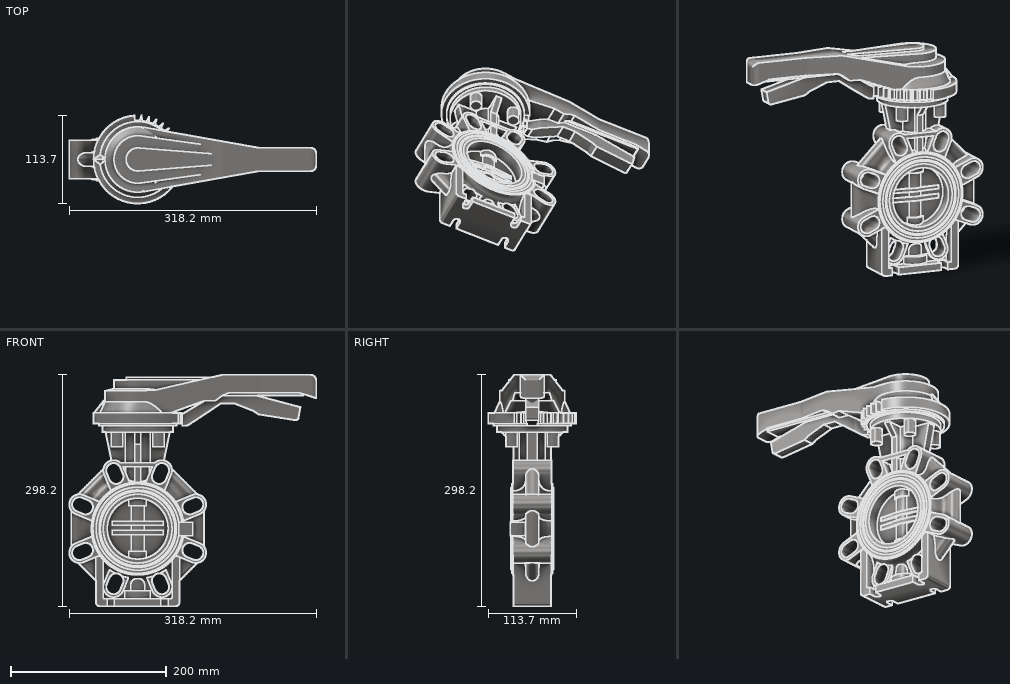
import cadquery as cq
import math


BORE_R = 39.2
BARREL_R = 59.7
BARREL_HALF = 25.4
SEAL_R = 57.7
SEAL_FACE = 26.2
BEAD_R = 2.0
BEAD_RINGS = (51.7, 46.2)
SEAL_HALF = 27.5
DISC_HALF = 8.5
SHAFT_R = 11.8
SHAFT_HUB_R = 14.1
SHAFT_HUB_START = 29.4
DISC_RIB_END = 32.8
DISC_RIB_END_HALF = 9.0
DISC_RIB_PEAK = 1.7
DISC_RIB_PEAK_HALF = 12.4
DISC_RIBS = ((4.5, 9.3), (-7.7, -2.0))

LUG_COUNT = 8
LUG_STEP = 360 / LUG_COUNT
LUG_R = 13.2
LUG_HALF = 25.0
LOW_LUG_HALF = 12.5
SLOT_R = 9.3
SLOT_INNER = 72.5
SLOT_OUTER = 81.2
RIM_R = 8.0
RIM_FLAT = 1.2
RIM_CENTER = 77.6
WEB_HALF = RIM_R + RIM_FLAT / 2
FLARE_R = 14.3
TIE_BOTTOM = 79.6
TIE_TOP = 85.0
TAB_X = (52.7, 70.6)
TAB_Z = (-8.9, 8.1)
TAB_FRONT = 28.6

FOOT_BOTTOM = -100.0
FOOT_HALF_X = 53.9
FOOT_HALF_Y = 24.2
FOOT_WALL = 9.7
FOOT_CORNER_R = 5.0
FOOT_TOP = -35.6
FOOT_SLOT_X = 34.6
FOOT_SLOT_R = 4.6
FOOT_SLOT_DEPTH = 10.0
FOOT_INNER_R = 1.8
LOWER_STEM_R = 12.4
LOWER_BOSS_R = 18.5
LOWER_BOSS_HEIGHT = 10.0

NECK_TOP = 124.2
NECK_COLUMN_R = 17.4
NECK_PLATE_HALF_TOP = 41.5
NECK_PLATE_HALF_LOW = 34.0
NECK_PLATE_LOW = 88.0
NECK_PLATE_THICK = 12.4
NECK_RIB_THICK = 8.0
NECK_RIB_FLARE = 15.5
PAD_R = 45.7
PAD_TOP = 132.3
STEP_R = 50.2
STEP_TOP = 135.1
RATCHET_R = 56.91
RATCHET_TOP = 149.0
RATCHET_ROOT_R = 49.6
NOTCH_START = -24.0
NOTCH_END = 94.0
TOOTH_FIRST = -15
TOOTH_LAST = 85
TOOTH_STEP = 10
TOOTH_BASE_HALF = 2.4
TOOTH_TIP_HALF = 0.3
TOOTH_WAIST_HALF = 0.9
TOOTH_EMBED = 1.0
SCREW_R = 7.4
SCREW_OFFSET = 26.7
SCREW_BOTTOM = 105.2

HUB_R = 42.2
SKIRT_R = 48.8
SKIRT_TOP = 163.5
HUB_SHOULDER = 177.3
HUB_TOP = 180.3
COVER_R = 30.6
COVER_TOP = 191.7
COVER_END = (83.0, 19.3)
BADGE_R = 14.9
BADGE_TOP = 195.0
BADGE_END = (95.3, 7.4)
LEVER_END = 229.96
LEVER_TOP = 198.2
GRIP_START = 156.0
GRIP_HALF = 15.2
GRIP_BOTTOM = 174.7
HOOK_START = 208.6
HOOK_BOTTOM = 167.8
CRANK_X = 109.0
CRANK_LOW = (22.9, 178.5)
BELLY_START = 43.0
BELLY_STEP = (85.5, 164.4)
BELLY_END = (100.0, 164.6)
GRIP_RELIEF_X = 117.0
GRIP_TOP_R = 7.5
GRIP_SIDE_R = 7.4
CORE_HALF = 12.0
CORE_BOTTOM = 171.4
CORE_END = 213.0
POINTER_TIP = 56.4
POINTER_TOP = 165.5
POINTER_BASE_X = 47.6
POINTER_HALF = 7.0
POINTER_PEAK = 1.0
TRIGGER_START = 57.2
TRIGGER_KINK = 75.2
TRIGGER_HALF = 8.6
TRIGGER_NOSE_HALF = 5.0
TRIGGER_TIP_R = 4.0
TRIGGER_NOSE_TOP = 147.5
TRIGGER_TAIL_START = 153.5
TRIGGER_TAIL_TOP = (209.7, 156.5)
TRIGGER_TAIL_LOW = (206.5, 139.0)
TRIGGER_UNDERSIDE = (
    (155.5, 147.0),
    (149.0, 151.5),
    (124.5, 161.0),
    (107.0, 161.0),
    (TRIGGER_KINK, 139.8),
    (64.0, 132.6),
    (TRIGGER_START, 132.2),
)


def disc_along_y(radius, half):
    """Cylinder about the bore axis, centred on the mid plane."""
    return cq.Workplane("XZ").circle(radius).extrude(half, both=True)


def post(radius, bottom, top, x=0, y=0):
    """Vertical cylinder between two heights."""
    return cq.Workplane("XY", origin=(x, y, bottom)).circle(radius).extrude(top - bottom)


def block(x_range, y_range, z_range):
    """Box between pairs of limits."""
    size = [high - low for low, high in (x_range, y_range, z_range)]
    low_corner = (x_range[0], y_range[0], z_range[0])
    return cq.Workplane("XY").box(*size, centered=False).translate(low_corner)


def turn(shape, angle):
    """Turn a shape about the bore axis, from +X toward +Z."""
    return shape.rotate((0, 0, 0), (0, 1, 0), -angle)


def polar(radius, angle):
    """Point at a radius and an angle in degrees."""
    return (radius * math.cos(math.radians(angle)), radius * math.sin(math.radians(angle)))


def barrel():
    """Barrel with raised seal faces and two round beads on each."""
    body = disc_along_y(BARREL_R, BARREL_HALF).union(disc_along_y(SEAL_R, SEAL_FACE))
    for ring in BEAD_RINGS:
        for side in (-1, 1):
            bead = (
                cq.Workplane("XY")
                .center(ring, side * (SEAL_HALF - BEAD_R))
                .circle(BEAD_R)
                .revolve(360, (-ring, 0), (-ring, 1))
            )
            body = body.union(bead)
    return body


def lug_web():
    """Web around the barrel: an octagon with a round rim, flaring out toward the barrel."""
    corner_r = RIM_CENTER / math.cos(math.radians(LUG_STEP / 2))
    web = (
        cq.Workplane("XZ")
        .polygon(LUG_COUNT, 2 * corner_r)
        .extrude(WEB_HALF, both=True)
    )
    web = turn(web, LUG_STEP / 2)
    flare_tip = BARREL_R + FLARE_R
    flare_half = WEB_HALF + FLARE_R
    arc_mid_offset = FLARE_R * math.sqrt(0.5)
    flare = (
        cq.Workplane("XY")
        .moveTo(BORE_R, -flare_half)
        .lineTo(BARREL_R, -flare_half)
        .threePointArc((flare_tip - arc_mid_offset, arc_mid_offset - flare_half), (flare_tip, -WEB_HALF))
        .lineTo(flare_tip, WEB_HALF)
        .threePointArc((flare_tip - arc_mid_offset, flare_half - arc_mid_offset), (BARREL_R, flare_half))
        .lineTo(BORE_R, flare_half)
        .close()
        .revolve(360, (0, 0), (0, 1))
    )
    web = web.union(flare)
    rim_length = 2 * RIM_CENTER * math.tan(math.radians(LUG_STEP / 2))
    rim = (
        cq.Workplane("XY", origin=(RIM_CENTER, 0, -rim_length / 2))
        .slot2D(2 * WEB_HALF, 2 * RIM_R, 90)
        .extrude(rim_length)
    )
    for index in range(LUG_COUNT):
        web = web.union(turn(rim, index * LUG_STEP))
    return web


def lug(angle):
    """Radial lug with a round outer end; the two inside the foot are thinner."""
    inside_foot = abs(angle - 270) < LUG_STEP
    half = LOW_LUG_HALF if inside_foot else LUG_HALF
    arm = block((BORE_R, SLOT_OUTER), (-half, half), (-LUG_R, LUG_R))
    end = disc_along_y(LUG_R, half).translate((SLOT_OUTER, 0, 0))
    return turn(arm.union(end), angle)


def lug_slot(angle):
    """Radial bolt slot through a lug."""
    slot = (
        cq.Workplane("XZ")
        .center((SLOT_INNER + SLOT_OUTER) / 2, 0)
        .slot2D(SLOT_OUTER - SLOT_INNER + 2 * SLOT_R, 2 * SLOT_R)
        .extrude(LUG_HALF, both=True)
    )
    return turn(slot, angle)


def foot():
    """U-shaped foot below the barrel, with open slots in its floor and a lower stem boss."""
    wall_inner = FOOT_HALF_X - FOOT_WALL
    floor_top = FOOT_BOTTOM + FOOT_WALL
    both_y = (-FOOT_HALF_Y, FOOT_HALF_Y)
    frame = block((-FOOT_HALF_X, FOOT_HALF_X), both_y, (FOOT_BOTTOM, FOOT_TOP))
    frame = frame.edges("|Y and <Z").fillet(FOOT_CORNER_R)
    opening = block((-wall_inner, wall_inner), both_y, (floor_top, FOOT_TOP))
    frame = frame.cut(opening.edges("|Y and <Z").fillet(FOOT_INNER_R))
    for x in (-FOOT_SLOT_X, FOOT_SLOT_X):
        for side in (-1, 1):
            slot = (
                cq.Workplane("XY", origin=(x, side * FOOT_HALF_Y, FOOT_BOTTOM))
                .slot2D(2 * (FOOT_SLOT_DEPTH + FOOT_SLOT_R), 2 * FOOT_SLOT_R, 90)
                .extrude(FOOT_WALL)
            )
            frame = frame.cut(slot)
    web = block((-wall_inner, wall_inner), (-WEB_HALF, WEB_HALF), (floor_top, -BARREL_R))
    boss = post(LOWER_BOSS_R, floor_top, floor_top + LOWER_BOSS_HEIGHT)
    stem = post(LOWER_STEM_R, floor_top, -BORE_R)
    return frame.union(web).union(boss).union(stem)


def neck():
    """Stem column with a tapered plate across it and a flared rib along the bore."""
    column = post(NECK_COLUMN_R, BORE_R, NECK_TOP)
    plate = (
        cq.Workplane("XZ")
        .polyline([
            (-NECK_PLATE_HALF_TOP, NECK_TOP),
            (NECK_PLATE_HALF_TOP, NECK_TOP),
            (NECK_PLATE_HALF_LOW, NECK_PLATE_LOW),
            (NECK_PLATE_HALF_LOW, TIE_BOTTOM),
            (-NECK_PLATE_HALF_LOW, TIE_BOTTOM),
            (-NECK_PLATE_HALF_LOW, NECK_PLATE_LOW),
        ])
        .close()
        .extrude(NECK_PLATE_THICK / 2, both=True)
    )
    flare_half = FOOT_HALF_Y + NECK_RIB_FLARE
    rib = (
        cq.Workplane("YZ")
        .polyline([
            (-flare_half, NECK_TOP),
            (flare_half, NECK_TOP),
            (FOOT_HALF_Y, NECK_TOP - NECK_RIB_FLARE),
            (FOOT_HALF_Y, BORE_R),
            (-FOOT_HALF_Y, BORE_R),
            (-FOOT_HALF_Y, NECK_TOP - NECK_RIB_FLARE),
        ])
        .close()
        .extrude(NECK_RIB_THICK / 2, both=True)
    )
    tie_half = polar(SLOT_OUTER, 90 - LUG_STEP / 2)[0]
    tie = block((-tie_half, tie_half), (-LUG_HALF, LUG_HALF), (TIE_BOTTOM, TIE_TOP))
    return column.union(plate).union(rib).union(tie)


def ratchet_plate():
    """Stepped round plate, cut back over a sector where ratchet teeth stand out."""
    rim = post(RATCHET_R, STEP_TOP, RATCHET_TOP)
    notch_reach = 2 * RATCHET_R
    notch_angles = (NOTCH_START, (NOTCH_START + NOTCH_END) / 2, NOTCH_END)
    notch_points = [(0, 0)] + [polar(notch_reach, angle) for angle in notch_angles]
    notch = cq.Workplane("XY", origin=(0, 0, STEP_TOP)).polyline(notch_points).close()
    rim = rim.cut(notch.extrude(RATCHET_TOP - STEP_TOP))
    rim = rim.union(post(RATCHET_ROOT_R, STEP_TOP, RATCHET_TOP))
    root = RATCHET_ROOT_R - TOOTH_EMBED
    waist_x = (RATCHET_ROOT_R + RATCHET_R) / 2
    tooth = (
        cq.Workplane("XY", origin=(0, 0, STEP_TOP))
        .moveTo(root, -TOOTH_BASE_HALF)
        .threePointArc((waist_x, -TOOTH_WAIST_HALF), (RATCHET_R, -TOOTH_TIP_HALF))
        .lineTo(RATCHET_R, TOOTH_TIP_HALF)
        .threePointArc((waist_x, TOOTH_WAIST_HALF), (root, TOOTH_BASE_HALF))
        .close()
        .extrude(RATCHET_TOP - STEP_TOP)
    )
    for angle in range(TOOTH_FIRST, TOOTH_LAST + 1, TOOTH_STEP):
        rim = rim.union(tooth.rotate((0, 0, 0), (0, 0, 1), angle))
    plate = rim.union(post(STEP_R, PAD_TOP, STEP_TOP)).union(post(PAD_R, NECK_TOP, PAD_TOP))
    for x in (-SCREW_OFFSET, SCREW_OFFSET):
        for y in (-SCREW_OFFSET, SCREW_OFFSET):
            plate = plate.union(post(SCREW_R, SCREW_BOTTOM, NECK_TOP, x, y))
    return plate


def valve_disc():
    """Closed disc in the bore, with the stem swelling and two tapering ribs on each face."""
    disc = disc_along_y(BORE_R, DISC_HALF)
    stem = post(SHAFT_R, -BORE_R, BORE_R)
    stem = stem.union(post(SHAFT_HUB_R, SHAFT_HUB_START, BORE_R))
    stem = stem.union(post(SHAFT_HUB_R, -BORE_R, -SHAFT_HUB_START))
    for z_low, z_high in DISC_RIBS:
        rib = (
            cq.Workplane("XY", origin=(0, 0, z_low))
            .polyline([
                (-DISC_RIB_END, -DISC_RIB_END_HALF),
                (-DISC_RIB_PEAK, -DISC_RIB_PEAK_HALF),
                (DISC_RIB_PEAK, -DISC_RIB_PEAK_HALF),
                (DISC_RIB_END, -DISC_RIB_END_HALF),
                (DISC_RIB_END, DISC_RIB_END_HALF),
                (DISC_RIB_PEAK, DISC_RIB_PEAK_HALF),
                (-DISC_RIB_PEAK, DISC_RIB_PEAK_HALF),
                (-DISC_RIB_END, DISC_RIB_END_HALF),
            ])
            .close()
            .extrude(z_high - z_low)
        )
        stem = stem.union(rib)
    return disc.union(stem.intersect(disc_along_y(BORE_R, SEAL_HALF)))


def make_valve():
    """Valve body: barrel, lugs, foot, neck and ratchet plate with the closed disc."""
    body = barrel().union(lug_web()).union(foot()).union(neck())
    lug_angles = [LUG_STEP * (index + 0.5) for index in range(LUG_COUNT)]
    for angle in lug_angles:
        body = body.union(lug(angle))
    for angle in lug_angles:
        body = body.cut(lug_slot(angle))
    body = body.union(block(TAB_X, (-TAB_FRONT, 0), TAB_Z))
    body = body.cut(disc_along_y(BORE_R, TAB_FRONT))
    return body.union(valve_disc()).union(ratchet_plate())


def tangent_point(radius, end):
    """Point where a line from `end` touches a circle about the stem axis, on the +Y side."""
    angle = math.atan2(end[1], end[0]) + math.acos(radius / math.hypot(*end))
    return (radius * math.cos(angle), radius * math.sin(angle))


def teardrop(radius, end, bottom, top):
    """Plate with a round nose about the stem axis, sides tangent to it and a square end."""
    start = tangent_point(radius, end)
    return (
        cq.Workplane("XY", origin=(0, 0, bottom))
        .moveTo(*start)
        .lineTo(end[0], end[1])
        .lineTo(end[0], -end[1])
        .lineTo(start[0], -start[1])
        .threePointArc((-radius, 0), start)
        .close()
        .extrude(top - bottom)
    )


def hub():
    """Turned hub with a conical skirt and a shallow conical top."""
    return (
        cq.Workplane("XZ")
        .polyline([
            (0, RATCHET_TOP),
            (SKIRT_R, RATCHET_TOP),
            (HUB_R, SKIRT_TOP),
            (HUB_R, HUB_SHOULDER),
            (COVER_R, HUB_TOP),
            (0, HUB_TOP),
        ])
        .close()
        .revolve(360, (0, 0), (0, 1))
    )


def lever():
    """Cranked lever: side profile limited by the tapering plan outline, with a hooked end."""
    side = (
        cq.Workplane("XZ")
        .polyline([
            (0, RATCHET_TOP),
            (BELLY_START, RATCHET_TOP),
            BELLY_STEP,
            BELLY_END,
            (CRANK_X, CORE_BOTTOM),
            (GRIP_RELIEF_X, GRIP_BOTTOM),
            (HOOK_START, GRIP_BOTTOM),
            (LEVER_END, HOOK_BOTTOM),
            (LEVER_END, LEVER_TOP),
            (CRANK_X, LEVER_TOP),
            CRANK_LOW,
            (0, HUB_SHOULDER),
        ])
        .close()
        .extrude(HUB_R, both=True)
    )
    side = side.edges("|Y and >X and >Z").fillet(GRIP_TOP_R)
    root_x, root_half = tangent_point(HUB_R, (GRIP_START, GRIP_HALF))
    plan = (
        cq.Workplane("XY", origin=(0, 0, RATCHET_TOP))
        .polyline([
            (root_x, root_half),
            (GRIP_START, GRIP_HALF),
            (LEVER_END, GRIP_HALF),
            (LEVER_END, -GRIP_HALF),
            (GRIP_START, -GRIP_HALF),
            (root_x, -root_half),
        ])
        .close()
        .extrude(LEVER_TOP - RATCHET_TOP)
    )
    plan = plan.edges("|Z and >X").fillet(GRIP_SIDE_R)
    core = block((CRANK_X, CORE_END), (-CORE_HALF, CORE_HALF), (CORE_BOTTOM, LEVER_TOP))
    return side.intersect(plan).union(core)


def pointer():
    """Pyramid pointer leaning on the skirt, opposite the lever."""
    base = [(-POINTER_TIP, 0), (-POINTER_BASE_X, -POINTER_HALF), (-POINTER_BASE_X, POINTER_HALF)]
    peak = [(-HUB_R - POINTER_PEAK, 0), (-HUB_R, -POINTER_PEAK), (-HUB_R, POINTER_PEAK)]
    return (
        cq.Workplane("XY", origin=(0, 0, RATCHET_TOP))
        .polyline(base)
        .close()
        .workplane(offset=POINTER_TOP - RATCHET_TOP)
        .polyline(peak)
        .close()
        .loft(ruled=True)
    )


def trigger():
    """Release trigger hung under the lever, with a nose that narrows toward the teeth."""
    side = (
        cq.Workplane("XZ")
        .polyline([
            (TRIGGER_START, TRIGGER_NOSE_TOP),
            BELLY_STEP,
            (CRANK_X, CORE_BOTTOM),
            (TRIGGER_TAIL_START, CORE_BOTTOM),
            TRIGGER_TAIL_TOP,
            TRIGGER_TAIL_LOW,
            *TRIGGER_UNDERSIDE,
        ])
        .close()
        .extrude(TRIGGER_HALF, both=True)
    )
    tail_corner = (TRIGGER_TAIL_LOW[0], 0, TRIGGER_TAIL_LOW[1])
    tail_edge = cq.selectors.NearestToPointSelector(tail_corner)
    side = side.edges("|Y").edges(tail_edge).fillet(TRIGGER_TIP_R)
    plan = (
        cq.Workplane("XY", origin=(0, 0, NECK_TOP))
        .polyline([
            (TRIGGER_START, -TRIGGER_NOSE_HALF),
            (TRIGGER_KINK, -TRIGGER_HALF),
            (LEVER_END, -TRIGGER_HALF),
            (LEVER_END, TRIGGER_HALF),
            (TRIGGER_KINK, TRIGGER_HALF),
            (TRIGGER_START, TRIGGER_NOSE_HALF),
        ])
        .close()
        .extrude(LEVER_TOP - NECK_TOP)
    )
    return side.intersect(plan)


def make_handle():
    """Handle: hub, lever, raised cover and badge, pointer and trigger."""
    cover = teardrop(COVER_R, COVER_END, HUB_SHOULDER, COVER_TOP)
    badge = teardrop(BADGE_R, BADGE_END, HUB_SHOULDER, BADGE_TOP)
    body = hub().union(lever()).union(cover).union(badge)
    return body.union(pointer()).union(trigger())


valve = make_valve()
handle = make_handle()

result = cq.Compound.makeCompound([*valve.vals(), *handle.vals()])